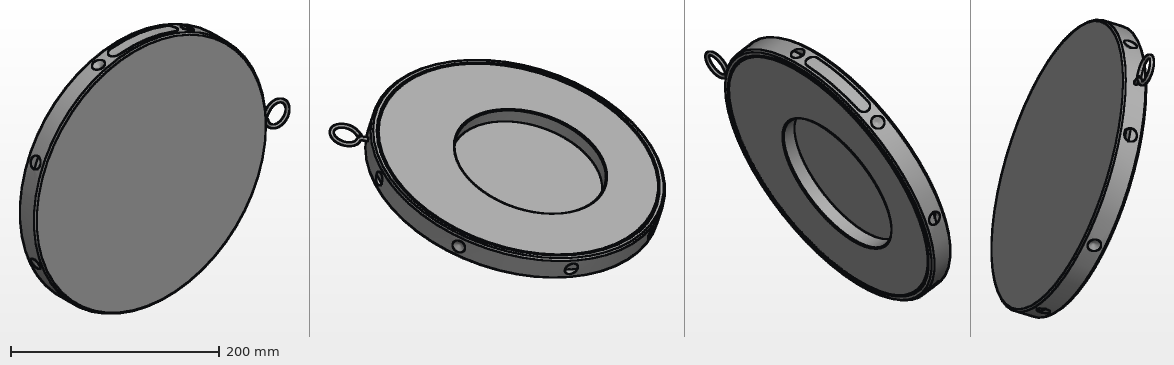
import math

import cadquery as cq

disc_diameter = 292.0
disc_thickness = 25.0
rim_chamfer = 2.0
disc_radius = disc_diameter / 2
half_thickness = disc_thickness / 2

seam_outer_radius = 140.2
seam_width = 1.7

recess_diameter = 150.0
recess_depth = 15.0
recess_chamfer = 1.0
recess_center_y = -12.0

rim_hole_diameter = 13.4
rim_hole_pairs = 4
first_dimple_angle = 22.5
pair_spacing = 360.0 / rim_hole_pairs
first_pocket_angle = first_dimple_angle + pair_spacing / 2
rim_hole_radius = rim_hole_diameter / 2
dimple_depth = 4.0
pocket_depth = 7.0
pocket_top_edge_x = 0.8
pocket_floor_edge_x = 2.5
pocket_ledge_depth = 0.2

label_length = 84.0
label_width = 13.4
label_height = 0.2

wire_diameter = 4.0
eye_outer_end_y = 183.82
eye_radius = 13.5
elbow_radius = 5.0
tail_start_angle = 33.0
tail_length = 6.0
stem_embed = 10.0

overlap = 2.0


def rim_plane(angle):
    """Plane touching the rim: local X is part X, the normal points outwards."""
    tilt = math.radians(angle)
    outward = cq.Vector(0, math.cos(tilt), math.sin(tilt))
    return cq.Plane(origin=outward * disc_radius, xDir=(1, 0, 0), normal=outward)


def make_disc():
    disc = cq.Workplane("YZ", origin=(-half_thickness, 0, 0)).circle(disc_radius).extrude(disc_thickness)
    return disc.edges("%CIRCLE").chamfer(rim_chamfer)


def make_seam():
    face_x = -half_thickness
    inner_radius = seam_outer_radius - seam_width
    profile = (
        cq.Workplane("XY")
        .moveTo(face_x, inner_radius)
        .lineTo(face_x, seam_outer_radius)
        .lineTo(face_x + seam_width, seam_outer_radius)
        .close()
    )
    return profile.revolve(360, (0, 0, 0), (1, 0, 0))


def make_recess():
    recess = (
        cq.Workplane("YZ", origin=(-half_thickness, recess_center_y, 0))
        .circle(recess_diameter / 2)
        .extrude(recess_depth)
    )
    mouth = cq.Solid.makeCone(
        recess_diameter / 2 + recess_chamfer,
        recess_diameter / 2,
        recess_chamfer,
        pnt=cq.Vector(-half_thickness, recess_center_y, 0),
        dir=cq.Vector(1, 0, 0),
    )
    return recess.union(cq.Workplane(mouth))


def make_dimple(angle):
    plane = rim_plane(angle)
    cone = cq.Solid.makeCone(rim_hole_radius, 0, dimple_depth, pnt=plane.origin, dir=plane.zDir * -1)
    mouth = cq.Workplane(plane).circle(rim_hole_radius).extrude(overlap)
    return mouth.union(cq.Workplane(cone))


def make_pocket(angle):
    plane = rim_plane(angle)
    bore = cq.Workplane(plane).workplane(offset=-pocket_depth).circle(rim_hole_radius)
    bore = bore.extrude(pocket_depth + overlap)

    section = cq.Plane(origin=plane.origin, xDir=(1, 0, 0), normal=plane.yDir * -1)
    block = (
        cq.Workplane(section)
        .moveTo(-disc_thickness, -pocket_ledge_depth)
        .lineTo(pocket_top_edge_x, -pocket_ledge_depth)
        .lineTo(pocket_floor_edge_x, -pocket_depth)
        .lineTo(-disc_thickness, -pocket_depth)
        .close()
        .extrude(rim_hole_diameter, both=True)
    )
    return bore.cut(block)


def make_label():
    pad_radius = disc_radius + label_height
    shell = (
        cq.Workplane("YZ", origin=(-half_thickness, 0, 0))
        .circle(pad_radius)
        .circle(disc_radius - overlap)
        .extrude(disc_thickness)
    )
    outline = cq.Workplane("XY").slot2D(label_length, label_width, 90).extrude(pad_radius + overlap)
    return shell.intersect(outline)


def make_eye():
    center_y = eye_outer_end_y - wire_diameter / 2 - eye_radius
    center_distance = eye_radius + elbow_radius
    elbow_start_y = center_y - math.sqrt(center_distance**2 - elbow_radius**2)
    elbow_turn = math.acos(elbow_radius / center_distance)
    stem_start_y = disc_radius - stem_embed

    def elbow_point(turn):
        y = elbow_start_y + elbow_radius * math.sin(turn)
        z = elbow_radius * (math.cos(turn) - 1)
        return y, z

    tail_angle = math.radians(tail_start_angle)
    tail_start = (center_y - eye_radius * math.cos(tail_angle), eye_radius * math.sin(tail_angle))
    tail_end = (
        tail_start[0] - tail_length * math.sin(tail_angle),
        tail_start[1] - tail_length * math.cos(tail_angle),
    )
    path = (
        cq.Workplane("YZ")
        .moveTo(stem_start_y, 0)
        .lineTo(elbow_start_y, 0)
        .threePointArc(elbow_point(elbow_turn / 2), elbow_point(elbow_turn))
        .threePointArc((center_y + eye_radius, 0), tail_start)
        .lineTo(*tail_end)
    )
    stem_plane = cq.Plane(origin=(0, stem_start_y, 0), xDir=(1, 0, 0), normal=(0, 1, 0))
    return cq.Workplane(stem_plane).circle(wire_diameter / 2).sweep(path)


result = make_disc().cut(make_seam()).cut(make_recess())
for pair in range(rim_hole_pairs):
    turn = pair * pair_spacing
    result = result.cut(make_dimple(first_dimple_angle + turn))
    result = result.cut(make_pocket(first_pocket_angle + turn))
result = result.union(make_label()).union(make_eye())